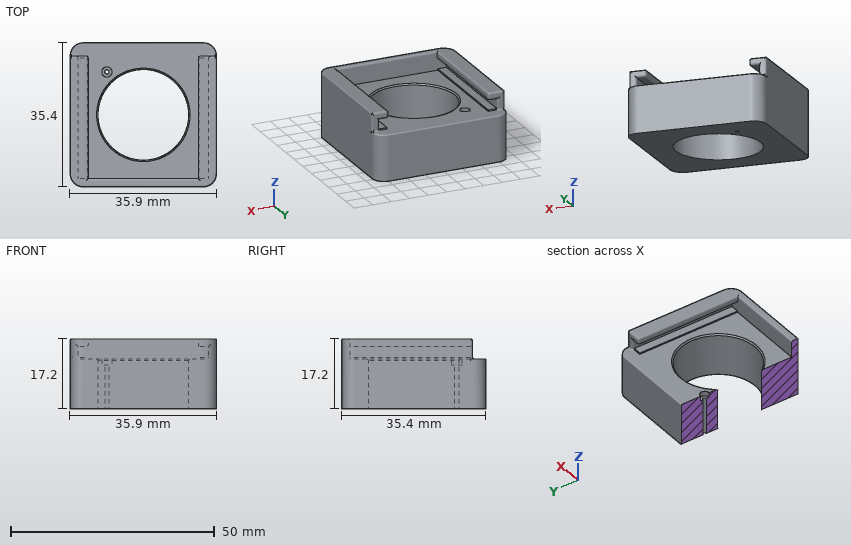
import cadquery as cq

length = 35.92
width = 35.4
height = 17.17
corner_radius = 3.25
rim_radius = 0.35
floor_z = 12.25

rail_end_y = 14.45
lip_half_gap = 13.5
neck_half_gap = 16.02
front_wall_y = -15.65
lip_bottom_z = 15.3
rail_radius = 0.55
foot_radius = 0.43

ledge_half_gap = 13.7
ledge_height = 0.35
ledge_end_y = rail_end_y - rail_radius

bore_diameter = 22.25
bore_chamfer = 0.35
pin_x = -8.95
pin_y = 10.52
pin_hole_diameter = 1.0
pin_recess_diameter = 2.5
pin_recess_depth = 1.45

half_length = length / 2
half_width = width / 2
tolerance = 0.018


def block(x_min, x_max, y_min, y_max, z_min, z_max):
    """Box between the given limits."""
    size = (x_max - x_min, y_max - y_min, z_max - z_min)
    return cq.Workplane("XY").box(*size, centered=False).translate((x_min, y_min, z_min))


def rounded_body(z_max):
    """Solid with the rounded outer outline, from the bottom up to z_max."""
    return cq.Workplane("XY").rect(length, width).extrude(z_max).edges("|Z").fillet(corner_radius)


def rimmed_body(z_max):
    """Rounded body with its top rim rounded over."""
    return rounded_body(z_max).faces(">Z").edges().fillet(rim_radius)


def near(x_min, x_max, y_min, y_max, z_min, z_max):
    """Selector for edges whose centers lie between the given limits."""
    return cq.selectors.BoxSelector(
        (x_min - tolerance, y_min - tolerance, z_min - tolerance),
        (x_max + tolerance, y_max + tolerance, z_max + tolerance),
    )


def make_ledges():
    """Raised strips along both sides of the slot floor, reaching under the lips."""
    ledge = block(
        ledge_half_gap, neck_half_gap, front_wall_y, ledge_end_y, floor_z, floor_z + ledge_height
    )
    return ledge.union(ledge.mirror("YZ"))


def make_rails():
    """Front wall and two overhanging rails, with the ledges, above the floor."""
    rails = block(-half_length, half_length, -half_width, rail_end_y, floor_z, height)
    rails = rails.cut(
        block(-lip_half_gap, lip_half_gap, front_wall_y, rail_end_y, floor_z, height)
    )
    rails = rails.cut(
        block(-neck_half_gap, neck_half_gap, front_wall_y, rail_end_y, floor_z, lip_bottom_z)
    )
    lip_bottom = near(-lip_half_gap, lip_half_gap, front_wall_y, rail_end_y, lip_bottom_z, lip_bottom_z)
    rails = rails.edges("|Y").edges(lip_bottom).fillet(rail_radius)
    inner_corners = near(
        -neck_half_gap, neck_half_gap, rail_end_y, rail_end_y, floor_z, height
    )
    rails = rails.edges("|Z").edges(inner_corners).fillet(rail_radius)
    slot_top = near(-half_length, half_length, front_wall_y, rail_end_y, height, height)
    rails = rails.edges("|X or |Y").edges(slot_top).edges("not(<X or >X)").fillet(rail_radius)
    plan = block(-half_length, half_length, -half_width, rail_end_y, floor_z, height)
    rails = rails.intersect(plan.edges("|Z and >Y").fillet(rail_radius))
    return rails.intersect(rimmed_body(height)).union(make_ledges())


def make_foot():
    """Concave rounds where the rail ends meet the floor, following the neck corners."""
    outer_x = half_length - rim_radius
    top_z = floor_z + foot_radius
    post_top_z = top_z + foot_radius
    post = block(neck_half_gap, outer_x, ledge_end_y - rail_radius, rail_end_y, floor_z, post_top_z)
    post = post.edges("|Z and <X and >Y").fillet(rail_radius)
    floor = block(0, outer_x, 0, half_width, floor_z - foot_radius, floor_z)
    ledge_side = block(ledge_half_gap, neck_half_gap, 0, ledge_end_y, floor_z, post_top_z)
    foot = floor.union(post).union(ledge_side)
    foot_line = near(neck_half_gap, outer_x, rail_end_y, rail_end_y, floor_z, floor_z)
    foot = foot.edges(foot_line).edges("|X").fillet(foot_radius)
    foot = foot.intersect(
        block(ledge_half_gap, outer_x, ledge_end_y, half_width, floor_z, top_z)
    )
    return foot.union(foot.mirror("YZ"))


square_front = block(-half_length, half_length, -half_width, ledge_end_y, 0, floor_z)
base = rimmed_body(floor_z).union(rounded_body(floor_z).intersect(square_front))
result = base.union(make_rails()).union(make_foot())

result = result.cut(cq.Workplane("XY").circle(bore_diameter / 2).extrude(floor_z))
bore_mouth = near(-bore_chamfer, bore_chamfer, -bore_chamfer, bore_chamfer, floor_z, floor_z)
result = result.edges("%CIRCLE").edges(bore_mouth).chamfer(bore_chamfer)

pin = cq.Workplane("XY").center(pin_x, pin_y)
result = result.cut(pin.circle(pin_hole_diameter / 2).extrude(floor_z))
result = result.cut(
    pin.workplane(offset=floor_z - pin_recess_depth)
    .circle(pin_recess_diameter / 2)
    .extrude(pin_recess_depth)
)